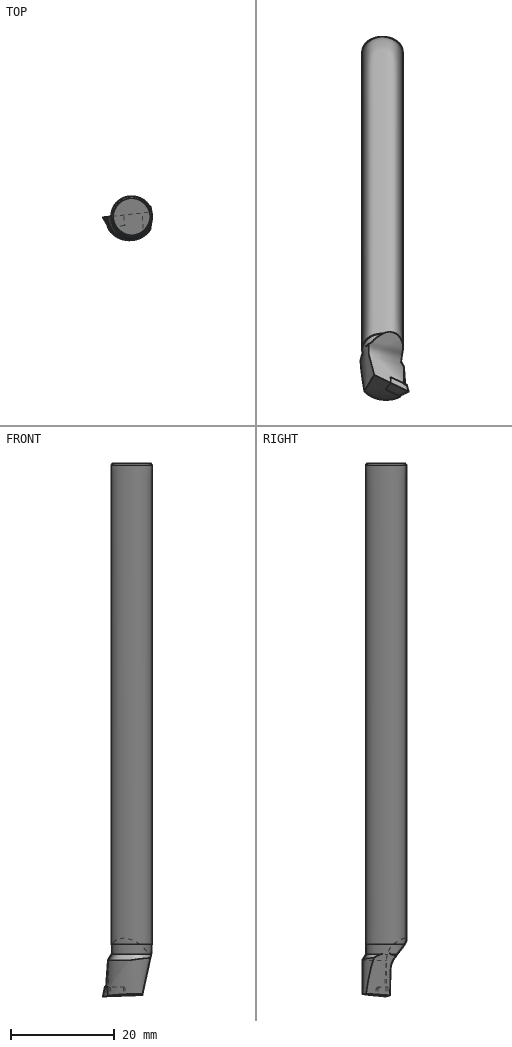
import cadquery as cq
import math

total_length = 102.7
shank_diameter = 7.92
shank_end_chamfer = 0.4

neck_diameter = 7.76
neck_top_z = 10.1
neck_bottom_z = 8.2

head_top_z = 7.0
head_top_radius = 4.6
flare_angle = 4.2
trim_radius = 4.75
trim_center_x = -0.4
trim_center_y = 0.17

back_slope_angle = 12.3
back_start_z = 9.0

end_relief_angle = 4.0
end_clearance_angle = 2.5

tip_x = -5.57
tip_y = -0.1
rake_angle = 6.5
runout_turn_angle = 24.0
runout_slope_angle = 43.0
runout_axis_z = 7.6
runout_fillet_radius = 4.0

bevel_width = 1.1
bevel_angle = 28.0

insert_length = 4.0
insert_thickness = 2.0
insert_height = 1.9
insert_corner_radius = 0.6
insert_side_relief_angle = 24.0
insert_flank_angle = 12.0

reach = 20.0

shank_radius = shank_diameter / 2
neck_radius = neck_diameter / 2


def tangent(angle):
    return math.tan(math.radians(angle))


def make_shank():
    shank_length = total_length - neck_top_z
    shank = cq.Workplane("XY").workplane(offset=neck_top_z).circle(shank_radius).extrude(shank_length)
    return shank.faces(">Z").chamfer(shank_end_chamfer)


def make_neck_and_head():
    head_bottom_radius = head_top_radius + head_top_z * tangent(flare_angle)
    profile = [
        (0, 0),
        (head_bottom_radius, 0),
        (head_top_radius, head_top_z),
        (neck_radius, neck_bottom_z),
        (neck_radius, neck_top_z),
        (0, neck_top_z),
    ]
    turned = cq.Workplane("XZ").polyline(profile).close().revolve(360, (0, 0, 0), (0, 1, 0))
    trim = cq.Workplane("XY").center(trim_center_x, trim_center_y).circle(trim_radius).extrude(neck_top_z)
    return turned.intersect(trim)


def make_back_cutter():
    back_bottom_x = shank_radius - back_start_z * tangent(back_slope_angle)
    outline = [
        (shank_radius, back_start_z),
        (back_bottom_x, 0),
        (reach, 0),
        (reach, back_start_z),
    ]
    return cq.Workplane("XZ").polyline(outline).close().extrude(reach, both=True)


def make_end_cutter():
    block = cq.Workplane("XY").box(2 * reach, 2 * reach, reach, centered=(True, True, False))
    block = block.translate((0, 0, -reach))
    block = block.rotate((0, 0, 0), (1, 0, 0), -end_relief_angle)
    block = block.rotate((0, 0, 0), (0, 1, 0), -end_clearance_angle)
    return block.translate((tip_x, tip_y, 0))


def along_rake(solid):
    """Moves a solid from the origin to the tip, turned so that its X runs along the rake face."""
    return solid.rotate((0, 0, 0), (0, 0, 1), rake_angle).translate((tip_x, tip_y, 0))


def make_rake_cutter():
    size = 2 * reach
    front_of_rake = along_rake(cq.Workplane("XY").box(size, size, size).translate((0, reach, 0)))
    below_runout = (
        cq.Workplane("XY")
        .box(2 * size, 2 * size, size)
        .translate((0, 0, -reach))
        .rotate((0, 0, 0), (1, 0, 0), runout_slope_angle)
        .rotate((0, 0, 0), (0, 0, 1), runout_turn_angle)
        .translate((0, 0, runout_axis_z))
    )
    cutter = front_of_rake.intersect(below_runout)
    blend_edge = cutter.edges(cq.selectors.NearestToPointSelector((0, 0, runout_axis_z)))
    return blend_edge.fillet(runout_fillet_radius)


def make_bevel_cutter():
    height = neck_bottom_z - insert_height
    drop = reach * tangent(bevel_angle)
    outline = [(bevel_width, 0), (bevel_width - reach, -drop), (bevel_width - reach, 0)]
    bevel = cq.Workplane("XY").workplane(offset=insert_height).polyline(outline).close().extrude(height)
    return along_rake(bevel)


def make_insert():
    block = (
        cq.Workplane("YZ")
        .moveTo(0, 0)
        .lineTo(0, insert_height)
        .lineTo(insert_corner_radius - insert_thickness, insert_height)
        .radiusArc((-insert_thickness, insert_height - insert_corner_radius), -insert_corner_radius)
        .lineTo(-insert_thickness, 0)
        .close()
        .extrude(insert_length)
    )
    side = reach * tangent(insert_side_relief_angle)
    lean = insert_height * tangent(insert_flank_angle)
    flank = (
        cq.Workplane("XY")
        .polyline([(0, 0), (side, -reach), (-reach, -reach), (-reach, 0)])
        .close()
        .workplane(offset=insert_height)
        .polyline([(lean, 0), (side + lean, -reach), (-reach, -reach), (-reach, 0)])
        .close()
        .loft(ruled=True)
    )
    return along_rake(block.cut(flank)).cut(make_end_cutter())


def make_insert_seat():
    seat = (
        cq.Workplane("YZ")
        .moveTo(reach, -reach)
        .lineTo(reach, insert_height)
        .lineTo(insert_corner_radius - insert_thickness, insert_height)
        .radiusArc((-insert_thickness, insert_height - insert_corner_radius), -insert_corner_radius)
        .lineTo(-insert_thickness, -reach)
        .close()
        .extrude(insert_length + reach)
        .translate((-reach, 0, 0))
    )
    return along_rake(seat)


holder = make_shank().union(make_neck_and_head())
holder = holder.cut(make_back_cutter()).cut(make_end_cutter())
holder = holder.cut(make_rake_cutter()).cut(make_bevel_cutter()).cut(make_insert_seat())
insert = make_insert()

result = cq.Compound.makeCompound([holder.solids().val(), insert.solids().val()])